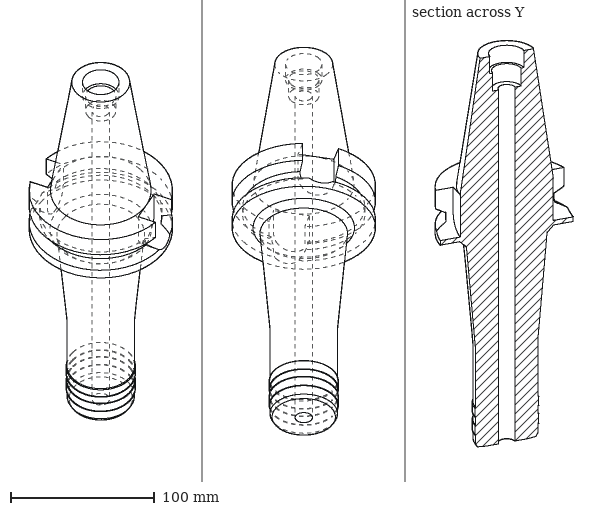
import cadquery as cq

total_height = 301.8

gauge_height = 200.0
gauge_radius = 35.0
shank_end_radius = 20.2

flange_radius = 100.0 / 2
flange_top = 198.5
flange_bottom = 162.0
upper_rim_height = 14.5
lower_rim_height = 7.2
groove_flank_height = 4.2
groove_radius = 42.5
flange_underside_radius = 35.3

neck_chamfer = 4.8
neck_radius = flange_underside_radius - neck_chamfer
neck_bottom = 75.5
nose_radius = 23.5
nose_chamfer_top = 3.3
nose_chamfer_bottom = 0.5
nose_chamfer_width = 1.5
nose_face_radius = 15.7

band_radius = 24.0
band_height = 7.5
lower_band_bottom = 10.5
upper_band_bottom = 24.5
upper_band_chamfer = band_radius - nose_radius

key_width = 25.7
key_depth = 32.5
key_floor_distance = 35.0

counterbore_radius = 12.7
counterbore_depth = 13.3
step_bore_radius = 10.5
step_bore_depth = 27.2
through_bore_radius = 6.0


def turned_body():
    groove_top = flange_top - upper_rim_height
    groove_bottom = flange_bottom + lower_rim_height
    profile = [
        (0, 0),
        (nose_face_radius, 0),
        (nose_radius - nose_chamfer_width, nose_chamfer_bottom),
        (nose_radius, nose_chamfer_top),
        (nose_radius, neck_bottom),
        (neck_radius, flange_bottom - neck_chamfer),
        (flange_underside_radius, flange_bottom),
        (flange_radius, flange_bottom),
        (flange_radius, groove_bottom),
        (groove_radius, groove_bottom + groove_flank_height),
        (groove_radius, groove_top - groove_flank_height),
        (flange_radius, groove_top),
        (flange_radius, flange_top),
        (gauge_radius, flange_top),
        (gauge_radius, gauge_height),
        (shank_end_radius, total_height),
        (0, total_height),
    ]
    return cq.Workplane("XZ").polyline(profile).close().revolve(360, (0, 0), (0, 1))


def nose_band(bottom):
    return cq.Workplane("XY").workplane(offset=bottom).circle(band_radius).extrude(band_height)


def keyway(side):
    """Round-bottomed keyway cutter; side is 1 for +X and -1 for -X."""
    half_width = key_width / 2
    arc_center = flange_top - key_depth + half_width
    return (
        cq.Workplane("YZ")
        .workplane(offset=side * key_floor_distance)
        .moveTo(-half_width, flange_top)
        .lineTo(-half_width, arc_center)
        .threePointArc((0, flange_top - key_depth), (half_width, arc_center))
        .lineTo(half_width, flange_top)
        .close()
        .extrude(side * flange_radius)
    )


def bore(radius, depth):
    """Cylindrical cutter sunk from the shank end."""
    return cq.Workplane("XY").workplane(offset=total_height - depth).circle(radius).extrude(depth)


result = turned_body()
result = result.union(nose_band(lower_band_bottom))
result = result.union(nose_band(upper_band_bottom).faces(">Z").chamfer(upper_band_chamfer))
for x_side in (1, -1):
    result = result.cut(keyway(x_side))
result = result.cut(bore(counterbore_radius, counterbore_depth))
result = result.cut(bore(step_bore_radius, step_bore_depth))
result = result.cut(bore(through_bore_radius, total_height))